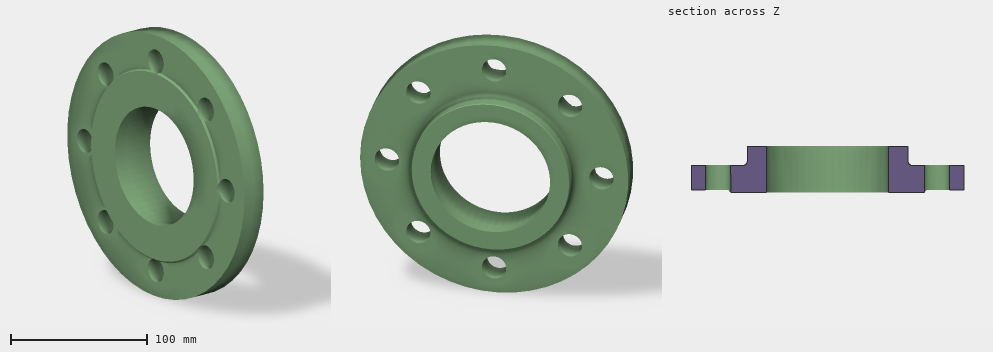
import cadquery as cq

flange_diameter = 200.0
total_length = 34.0
face_height = 1.5
flange_thickness = 18.5

face_diameter = 145.0
face_top_diameter = 142.5

hub_diameter = 118.0
hub_fillet_radius = 3.0
hub_bevel_length = 1.0
hub_bevel_width = 0.5

bore_diameter = 89.0
bolt_hole_diameter = 18.0
bolt_circle_diameter = 160.0
bolt_hole_count = 8

flange_front = face_height
flange_back = flange_front + flange_thickness


def turned_body():
    """Revolve the half section of the flange, face and hub about Y."""
    bore_radius = bore_diameter / 2
    flange_radius = flange_diameter / 2
    hub_radius = hub_diameter / 2
    fillet_center_radius = hub_radius + hub_fillet_radius
    fillet_end = flange_back + hub_fillet_radius
    diagonal_offset = hub_fillet_radius / 2**0.5
    fillet_middle = (fillet_center_radius - diagonal_offset, fillet_end - diagonal_offset)
    return (
        cq.Workplane("XY")
        .moveTo(bore_radius, 0)
        .lineTo(face_top_diameter / 2, 0)
        .lineTo(face_diameter / 2, flange_front)
        .lineTo(flange_radius, flange_front)
        .lineTo(flange_radius, flange_back)
        .lineTo(fillet_center_radius, flange_back)
        .threePointArc(fillet_middle, (hub_radius, fillet_end))
        .lineTo(hub_radius, total_length - hub_bevel_length)
        .lineTo(hub_radius - hub_bevel_width, total_length)
        .lineTo(bore_radius, total_length)
        .close()
        .revolve(360, (0, 0, 0), (0, 1, 0))
    )


def bolt_holes():
    """Through cylinders evenly spaced on the bolt circle, one on the X axis."""
    return (
        cq.Workplane("XZ")
        .polarArray(bolt_circle_diameter / 2, 0, 360, bolt_hole_count)
        .circle(bolt_hole_diameter / 2)
        .extrude(-total_length)
    )


result = turned_body().cut(bolt_holes())